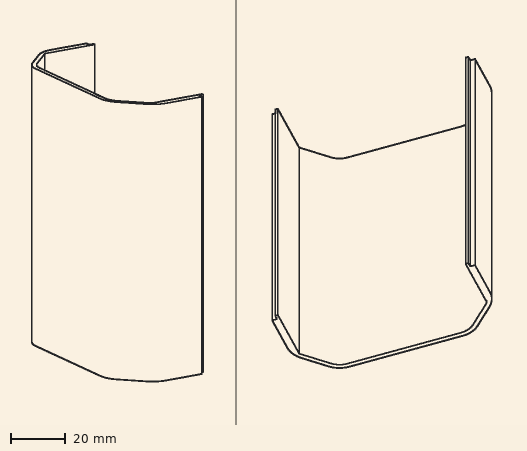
import cadquery as cq
import math

width = 79.2
depth = 34.5
height = 105.4

wall = 1.8
side_wall = 3.0
lip_base = 1.2
lip_tip = 1.0
lip_depth = 1.9

corner_leg = 13.4
bend_radius = 9.7

half_width = width / 2
front = -depth / 2
rear = depth / 2
diagonal_offset = wall * math.sqrt(2)


def sloped_channel(side_x, front_y, rear_y, leg):
    """Solid block with two 45 degree front corners, extruded along Z."""
    right_half = [(side_x - leg, front_y), (side_x, front_y + leg), (side_x, rear_y)]
    left_half = [(-x, y) for x, y in reversed(right_half)]
    return (
        cq.Workplane("XY")
        .workplane(offset=-height / 2)
        .polyline(right_half + left_half)
        .close()
        .extrude(height)
    )


def edges_at(x, y):
    """Selector for the mirrored pair of vertical edges at (+x, y) and (-x, y)."""
    tolerance = 0.01
    boxes = [
        cq.selectors.BoxSelector(
            (side * x - tolerance, y - tolerance, -height),
            (side * x + tolerance, y + tolerance, height),
        )
        for side in (-1, 1)
    ]
    return boxes[0] + boxes[1]


outer = sloped_channel(half_width, front, rear, corner_leg)
outer = outer.edges(edges_at(half_width - corner_leg, front)).fillet(bend_radius)
outer = outer.edges(edges_at(half_width, front + corner_leg)).fillet(bend_radius)

cavity_side = half_width - side_wall
cavity_front = front + wall
cavity_leg = corner_leg + diagonal_offset - side_wall - wall
cavity = sloped_channel(cavity_side, cavity_front, rear, cavity_leg)
cavity = cavity.edges(edges_at(cavity_side - cavity_leg, cavity_front)).fillet(bend_radius - wall)

result = outer.cut(cavity)

lip_shoulder = rear - lip_depth
for side in (-1, 1):
    rebate = (
        cq.Workplane("XY")
        .workplane(offset=-height / 2)
        .moveTo(side * half_width, lip_shoulder)
        .lineTo(side * (cavity_side + lip_base), lip_shoulder)
        .lineTo(side * (cavity_side + lip_tip), rear)
        .lineTo(side * half_width, rear)
        .close()
        .extrude(height)
    )
    result = result.cut(rebate)